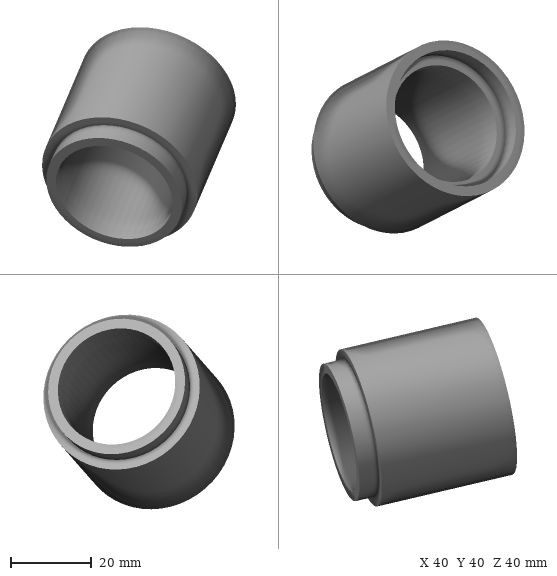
import cadquery as cq

outer_diameter = 40.0
total_length = 40.0
bore_diameter = 30.0
joint_diameter = (outer_diameter + bore_diameter) / 2
joint_length = 5.0


def cylinder(diameter, start_y, length):
    """Solid cylinder on the Y axis, running from start_y toward +Y."""
    return cq.Workplane(cq.Solid.makeCylinder(
        diameter / 2, length, cq.Vector(0, start_y, 0), cq.Vector(0, 1, 0)
    ))


front_y = -total_length / 2
back_y = total_length / 2

body = cylinder(outer_diameter, front_y + joint_length, total_length - joint_length)
spigot = cylinder(joint_diameter, front_y, total_length - joint_length)
bore = cylinder(bore_diameter, front_y, total_length)
socket = cylinder(joint_diameter, back_y - joint_length, joint_length)

result = body.union(spigot).cut(bore).cut(socket)